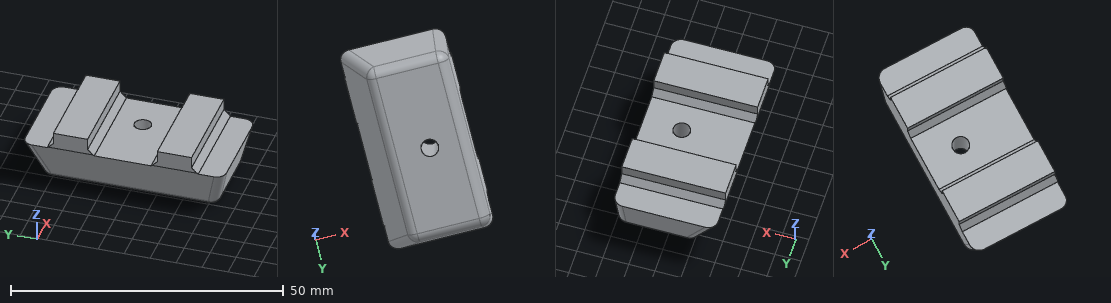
import cadquery as cq
import math

width = 20.0
length = 38.75
height = 13.25

block_height = 10.0
deck_height = 9.75
end_taper = math.tan(math.radians(15.5))
side_lean = 0.5
edge_radius = 2.0

rail_spacing = 20.0
rail_width = 6.6
flare = 1.25

hole_diameter = 3.2
hole_x = 2.5


def make_block():
    """Block with a leaning -X wall, a vertical +X wall and tapered Y ends, rounded below."""
    top_half = length / 2 + (block_height - deck_height) * end_taper
    bottom_half = top_half - block_height * end_taper
    left = -width / 2
    right = width / 2
    side_profile = [
        (left, block_height),
        (right, block_height),
        (right, 0),
        (left + side_lean * block_height, 0),
    ]
    end_profile = [
        (-top_half, block_height),
        (top_half, block_height),
        (bottom_half, 0),
        (-bottom_half, 0),
    ]
    along_y = cq.Workplane("XZ").polyline(side_profile).close().extrude(top_half, both=True)
    along_x = cq.Workplane("YZ").polyline(end_profile).close().extrude(width / 2, both=True)
    return along_y.intersect(along_x).edges("not >Z").fillet(edge_radius)


def make_rail(centre_y):
    """Flat-topped bar across the full width, standing on the deck."""
    half = rail_width / 2
    foot = half + flare
    profile = [
        (centre_y - foot, deck_height),
        (centre_y - half, deck_height + flare),
        (centre_y - half, height),
        (centre_y + half, height),
        (centre_y + half, deck_height + flare),
        (centre_y + foot, deck_height),
    ]
    return cq.Workplane("YZ").polyline(profile).close().extrude(width / 2, both=True)


block = make_block()
rails = make_rail(-rail_spacing / 2).union(make_rail(rail_spacing / 2))

above_deck = cq.Workplane("XY").box(2 * width, 2 * length, height, centered=(True, True, False))
above_deck = above_deck.translate((0, 0, deck_height))
above_block = above_deck.translate((0, 0, block_height - deck_height))
body = block.cut(above_deck.cut(rails))

hole = cq.Workplane("XY").center(hole_x, 0).circle(hole_diameter / 2).extrude(height)
result = body.union(rails.intersect(above_block)).cut(hole)